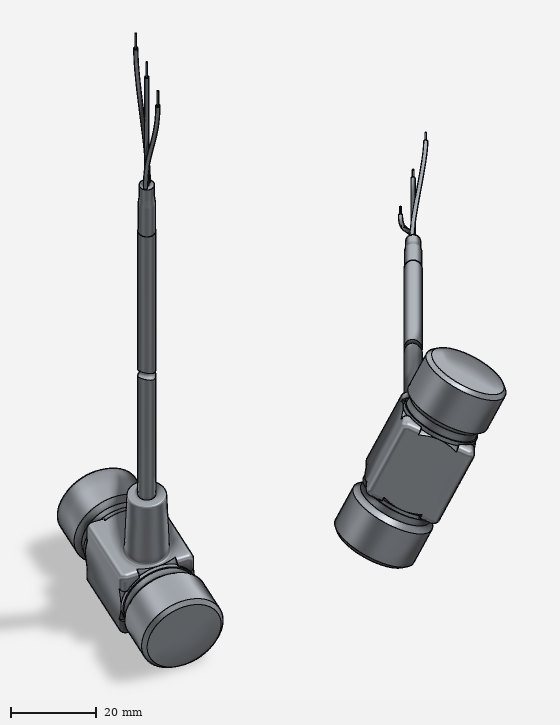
import cadquery as cq
import math

total_height = 179.0
total_length = 50.0

end_dia = 21.0
end_face_dia = 19.0
neck_dia = 18.3
end_chamfer = (end_dia - end_face_dia) / 2
neck_step = (end_dia - neck_dia) / 2
end_inner_x = 13.0

block_length = 21.1
block_size = 19.0
block_fillet = 1.6
flange_x = 11.1
relief_width = 9.8
relief_end_dia = 17.9
relief_dia = 21.5

cable_x = 3.8
outlet_base_dia = 10.5
outlet_top_dia = 9.3
outlet_top_z = 27.5
outlet_foot = 0.9
outlet_fillet = 0.5

cable_dia = 4.3
sleeve_dia = 4.1
core_dia = 3.5
sleeve_z = 113.5
cone_z = 122.6
core_z = 124.7
cable_top_z = 128.5
break_z = 67.0
break_gap = 2.1
break_rise = 0.9
break_angle = 45

wire_dia = 1.02
strand_dia = 0.43
strand_length = 4.8
wire_base_x = 0.8
wire_base_y = 0.7
wire_tip_x = 9.8
wire_tip_y = 1.6

top_z = total_height - end_dia / 2
insulation_top_z = top_z - strand_length
block_top_z = block_size / 2


def x_cylinder(diameter, x_half):
    """Cylinder along X, centred on the origin."""
    return cq.Workplane("YZ").circle(diameter / 2).extrude(x_half, both=True)


def make_block():
    half = block_length / 2
    blank = cq.Workplane("XY").box(block_length, block_size, block_size).edges("|X").fillet(block_fillet)
    block = cq.Workplane("XY").box(block_length, block_size, block_size).edges().fillet(block_fillet)

    cone_height = (relief_dia - relief_end_dia) / 2
    turned = x_cylinder(relief_dia, half).faces("<X or >X").chamfer(block_fillet, cone_height)
    cross = cq.Workplane("XY").box(block_length, relief_width, block_size)
    cross = cross.union(cq.Workplane("XY").box(block_length, block_size, relief_width))
    block = block.cut(cross).union(blank.intersect(cross).intersect(turned))
    return block.union(x_cylinder(block_size, flange_x))


def make_pipe():
    pipe = x_cylinder(neck_dia, end_inner_x)
    end_length = total_length / 2 - end_inner_x
    for side in (-1, 1):
        end = cq.Workplane("YZ").circle(end_dia / 2).extrude(end_length)
        end = end.faces(">X").chamfer(end_chamfer).faces("<X").chamfer(neck_step)
        end = end.translate((end_inner_x, 0, 0))
        pipe = pipe.union(end if side > 0 else end.mirror("YZ"))
    return pipe


def make_outlet():
    base_r = outlet_base_dia / 2
    top_r = outlet_top_dia / 2
    corner = outlet_foot * (1 - math.sqrt(0.5))
    outlet = (
        cq.Workplane("XZ")
        .lineTo(base_r + outlet_foot, 0)
        .lineTo(base_r + outlet_foot, block_top_z)
        .threePointArc((base_r + corner, block_top_z + corner), (base_r, block_top_z + outlet_foot))
        .lineTo(top_r, outlet_top_z)
        .lineTo(0, outlet_top_z)
        .close()
        .revolve(360, (0, 0, 0), (0, 1, 0))
        .faces(">Z").edges().fillet(outlet_fillet)
    )
    return outlet.translate((cable_x, 0, 0))


def cable_piece(bottom_z, top_z):
    piece = cq.Workplane("XY").circle(cable_dia / 2).extrude(top_z - bottom_z)
    return piece.translate((cable_x, 0, bottom_z))


def below_break(crest_z):
    """Everything of the cable below an arched cut whose crest is at crest_z."""
    r = cable_dia / 2
    region = (
        cq.Workplane("XZ")
        .moveTo(-r, 0)
        .lineTo(-r, crest_z - break_rise)
        .threePointArc((0, crest_z), (r, crest_z - break_rise))
        .lineTo(r, 0)
        .close()
        .extrude(r, both=True)
    )
    return region.rotate((0, 0, 0), (0, 0, 1), break_angle).translate((cable_x, 0, 0))


def make_housing():
    """Block, pipe ends and outlet, with the lower piece of cable moulded in."""
    lower_cable = cable_piece(0, break_z).intersect(below_break(break_z))
    return make_block().union(make_pipe()).union(make_outlet()).union(lower_cable)


def make_upper_cable():
    upper_cut_z = break_z + break_gap
    cable = cable_piece(0, sleeve_z).cut(below_break(upper_cut_z))
    stepped_end = (
        cq.Workplane("XZ")
        .moveTo(0, sleeve_z)
        .lineTo(sleeve_dia / 2, sleeve_z)
        .lineTo(sleeve_dia / 2, cone_z)
        .lineTo(core_dia / 2, core_z)
        .lineTo(core_dia / 2, cable_top_z)
        .lineTo(0, cable_top_z)
        .close()
        .revolve(360, (0, 0, 0), (0, 1, 0))
        .translate((cable_x, 0, 0))
    )
    return cable.union(stepped_end)


def make_wire(side):
    """Insulated wire swept from the cable to its tip; side is -1, 0 or 1 along X."""
    base = cq.Vector(cable_x + side * wire_base_x, -side * wire_base_y, cable_top_z)
    tip = cq.Vector(cable_x + side * wire_tip_x, -side * wire_tip_y, insulation_top_z)
    up = cq.Vector(0, 0, (insulation_top_z - cable_top_z) / 3)
    path = cq.Workplane("XY").add(cq.Edge.makeBezier([base, base + up, tip - up, tip])).toPending()
    wire = cq.Workplane("XY", origin=base.toTuple()).circle(wire_dia / 2).sweep(path)
    strand = cq.Workplane("XY", origin=tip.toTuple()).circle(strand_dia / 2).extrude(strand_length)
    return wire.union(strand)


housing = make_housing()
upper_cable = make_upper_cable()
wires = [make_wire(side).val() for side in (-1, 0, 1)]

result = cq.Compound.makeCompound([housing.val(), upper_cable.val(), *wires])